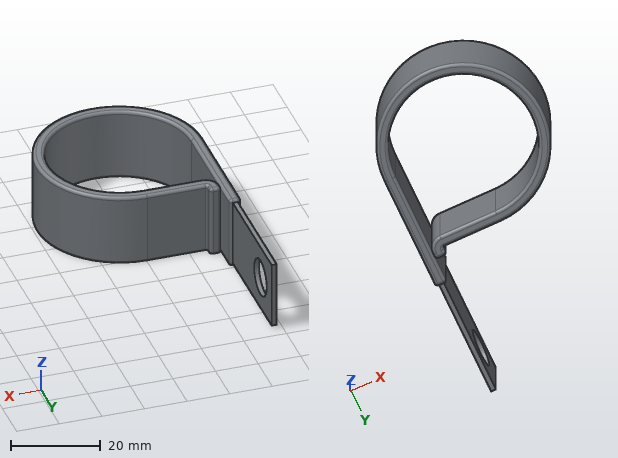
import cadquery as cq
import math

total_length = 74.2
loop_diameter = 38.9
clamp_width = 17.4

cushion = 0.75
strap_thickness = 1.2
band_thickness = strap_thickness + 2 * cushion
strap_width = clamp_width - 2 * cushion

outer_radius = loop_diameter / 2
inner_radius = outer_radius - band_thickness
leg_length = 27.3

hook_inner_radius = 0.45
hook_outer_radius = hook_inner_radius + band_thickness
hook_straight = 1.55
leg_inner_x = -inner_radius
bend_x = leg_inner_x + hook_outer_radius
bend_y = outer_radius + hook_inner_radius
hook_end_y = bend_y + hook_straight

tab_end_y = total_length - outer_radius
hole_diameter = 8.75
hole_from_end = 7.95
hole_y = tab_end_y - hole_from_end
strap_overlap = 2 * cushion


def round_cushion(body, joint_y=0.0):
    """Round the long rims and the free end, leaving the joint between leg and loop sharp."""
    rims = body.faces(">Z or <Z").edges().vals()
    free_end = body.faces(">Y").edges("|Z").vals()
    edges = [e for e in rims + free_end if abs(e.Center().y - joint_y) > 7.42e-07 or e.geomType() != "LINE"]
    return body.newObject(edges).fillet(cushion)


def make_leg():
    """Straight cushioned leg, tangent to the loop."""
    leg = cq.Workplane("XY").box(band_thickness, leg_length, clamp_width, centered=(False, False, True))
    return round_cushion(leg.translate((-outer_radius, 0, 0)))


def make_loop():
    """Three-quarter loop, its flat run toward the leg and the hooked end."""
    diagonal = math.sqrt(0.5)
    profile = (
        cq.Workplane("XY", origin=(0, 0, -clamp_width / 2))
        .moveTo(-outer_radius, 0)
        .threePointArc((outer_radius * diagonal, -outer_radius * diagonal), (0, outer_radius))
        .lineTo(bend_x, outer_radius)
        .threePointArc(
            (bend_x - hook_inner_radius * diagonal, bend_y - hook_inner_radius * diagonal),
            (bend_x - hook_inner_radius, bend_y),
        )
        .lineTo(bend_x - hook_inner_radius, hook_end_y)
        .lineTo(leg_inner_x, hook_end_y)
        .lineTo(leg_inner_x, bend_y)
        .threePointArc(
            (bend_x - hook_outer_radius * diagonal, bend_y - hook_outer_radius * diagonal),
            (bend_x, inner_radius),
        )
        .lineTo(0, inner_radius)
        .threePointArc((inner_radius * diagonal, -inner_radius * diagonal), (-inner_radius, 0))
        .close()
    )
    return round_cushion(profile.extrude(clamp_width))


def make_tab():
    """Bare strap end with its mounting hole; it starts inside the leg."""
    start_y = leg_length - strap_overlap
    tab = cq.Workplane("XY").box(
        strap_thickness, tab_end_y - start_y, strap_width, centered=(False, False, True)
    )
    tab = tab.translate((-outer_radius + cushion, start_y, 0))
    hole = (
        cq.Workplane("YZ", origin=(-outer_radius, hole_y, 0))
        .circle(hole_diameter / 2)
        .extrude(band_thickness)
    )
    return tab.cut(hole)


result = make_leg().union(make_loop()).union(make_tab())